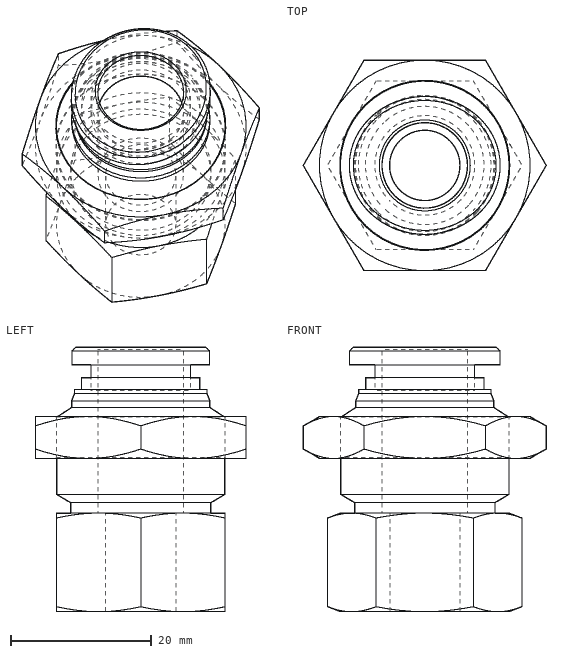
import cadquery as cq
import math

TOTAL_HEIGHT = 37.7

HEX_SIDES = 6
HEX_CORNER_RATIO = 1 / math.cos(math.pi / HEX_SIDES)

HEX_FLATS = 24.0
HEX_HEIGHT = 14.05
HEX_CHAMFER_HEIGHT = 0.7

NECK_DIAMETER = 20.0
NECK_TOP = 15.55
BARREL_DIAMETER = 24.0
BARREL_BOTTOM = 16.7
NOSE_BOTTOM = 29.1
NOSE_DIAMETER = 19.7
NOSE_TAPER_BOTTOM = 30.05
NOSE_TAPER_TOP = 31.1
NOSE_TIP_DIAMETER = 18.9
NOSE_TIP_TOP = 31.65
RING_DIAMETER = 16.9
RING_TOP = 33.35

THROUGH_DIAMETER = 10.0
TUBE_SEAT_DIAMETER = 12.15

NUT_FLATS = 30.0
NUT_BOTTOM = 21.83
NUT_HEIGHT = 6.0
NUT_TOP = NUT_BOTTOM + NUT_HEIGHT
NUT_CHAMFER_ANGLE = 30.0
NUT_BORE_CHAMFER = 0.1
BARREL_TOP = NUT_TOP - NUT_BORE_CHAMFER

SLEEVE_DIAMETER = 14.2
SLEEVE_BORE = 12.2
SLEEVE_BORE_CHAMFER = 0.38
SLEEVE_BOTTOM = 31.5
FLANGE_LENGTH_X = 21.5
FLANGE_WIDTH_Y = 19.65
FLANGE_BOTTOM = 35.17
FLANGE_CHAMFER = 0.55


def cylinder(diameter, bottom, top):
    """Upright cylinder on the Z axis."""
    return cq.Workplane("XY").workplane(offset=bottom).circle(diameter / 2).extrude(top - bottom)


def revolved(profile):
    """Solid of revolution about Z from (radius, height) points."""
    return cq.Workplane("XZ").polyline(profile).close().revolve(360, (0, 0, 0), (0, 1, 0))


def chamfered_hexagon(flats, bottom, height, chamfer_height):
    """Hexagonal prism with corners on the X axis, turned conically at both ends.

    Each cone starts on the circle inscribed in the flats and drops by
    chamfer_height at the corners.
    """
    top = bottom + height
    flat_radius = flats / 2
    corner_radius = flat_radius * HEX_CORNER_RATIO
    prism = (
        cq.Workplane("XY")
        .workplane(offset=bottom)
        .polygon(HEX_SIDES, 2 * corner_radius)
        .extrude(height)
    )
    envelope = revolved([
        (0, bottom),
        (flat_radius, bottom),
        (corner_radius, bottom + chamfer_height),
        (corner_radius, top - chamfer_height),
        (flat_radius, top),
        (0, top),
    ])
    return prism.intersect(envelope)


def make_body():
    """Hexagonal base with barrel, stepped nose and stepped passage."""
    base = chamfered_hexagon(HEX_FLATS, 0, HEX_HEIGHT, HEX_CHAMFER_HEIGHT)
    stem = revolved([
        (0, 0),
        (NECK_DIAMETER / 2, 0),
        (NECK_DIAMETER / 2, NECK_TOP),
        (BARREL_DIAMETER / 2, BARREL_BOTTOM),
        (BARREL_DIAMETER / 2, BARREL_TOP),
        (NOSE_DIAMETER / 2, NOSE_BOTTOM),
        (NOSE_DIAMETER / 2, NOSE_TAPER_BOTTOM),
        (NOSE_TIP_DIAMETER / 2, NOSE_TAPER_TOP),
        (NOSE_TIP_DIAMETER / 2, NOSE_TIP_TOP),
        (RING_DIAMETER / 2, NOSE_TIP_TOP),
        (RING_DIAMETER / 2, RING_TOP),
        (0, RING_TOP),
    ])
    passage = cylinder(THROUGH_DIAMETER, 0, HEX_HEIGHT)
    tube_seat = cylinder(TUBE_SEAT_DIAMETER, HEX_HEIGHT, SLEEVE_BOTTOM)
    sleeve_recess = cylinder(SLEEVE_DIAMETER, SLEEVE_BOTTOM, RING_TOP)
    return base.union(stem).cut(passage).cut(tube_seat).cut(sleeve_recess)


def make_lock_nut():
    """Hexagonal nut around the barrel, its bore chamfered at both ends."""
    corner_reach = NUT_FLATS / 2 * (HEX_CORNER_RATIO - 1)
    chamfer_height = corner_reach * math.tan(math.radians(NUT_CHAMFER_ANGLE))
    blank = chamfered_hexagon(NUT_FLATS, NUT_BOTTOM, NUT_HEIGHT, chamfer_height)
    bore_radius = BARREL_DIAMETER / 2
    mouth_radius = bore_radius + NUT_BORE_CHAMFER
    bore = revolved([
        (0, NUT_BOTTOM),
        (mouth_radius, NUT_BOTTOM),
        (bore_radius, NUT_BOTTOM + NUT_BORE_CHAMFER),
        (bore_radius, NUT_TOP - NUT_BORE_CHAMFER),
        (mouth_radius, NUT_TOP),
        (0, NUT_TOP),
    ])
    return blank.cut(bore)


def make_release_sleeve():
    """Bored sleeve with an elliptical push flange."""
    flange = (
        cq.Workplane("XY")
        .workplane(offset=FLANGE_BOTTOM)
        .ellipse(FLANGE_LENGTH_X / 2, FLANGE_WIDTH_Y / 2)
        .extrude(TOTAL_HEIGHT - FLANGE_BOTTOM)
        .faces(">Z")
        .chamfer(FLANGE_CHAMFER)
    )
    shank = cylinder(SLEEVE_DIAMETER, SLEEVE_BOTTOM, FLANGE_BOTTOM)
    bore_radius = SLEEVE_BORE / 2
    bore = revolved([
        (0, SLEEVE_BOTTOM),
        (bore_radius, SLEEVE_BOTTOM),
        (bore_radius, TOTAL_HEIGHT - SLEEVE_BORE_CHAMFER),
        (bore_radius + SLEEVE_BORE_CHAMFER, TOTAL_HEIGHT),
        (0, TOTAL_HEIGHT),
    ])
    return flange.union(shank).cut(bore)


body = make_body()
lock_nut = make_lock_nut()
release_sleeve = make_release_sleeve()

result = cq.Compound.makeCompound([body.val(), lock_nut.val(), release_sleeve.val()])